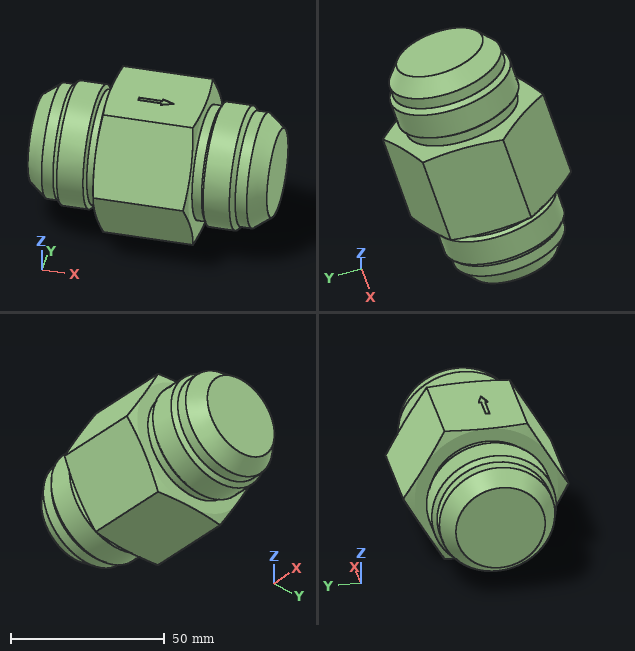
import cadquery as cq
import math

total_length = 80.0
half_length = total_length / 2

hex_length = 32.0
hex_across_flats = 47.5
hex_across_corners = hex_across_flats / math.cos(math.pi / 6)
hex_chamfer_angle = 15.0

relief_diameter = 38.2
relief_end = 19.2
collar_diameter = 41.3
collar_relief_angle = 30.0
collar_front_chamfer = 1.6
collar_end = 30.5
nose_diameter = 38.3
cone_start = 34.3
tip_diameter = 29.6

arrow_length = 11.7
arrow_center_y = -2.4
arrow_shaft_width = 1.3
arrow_head_length = 3.9
arrow_head_width = 3.05
arrow_depth = 0.2


def make_hex_body():
    """Hexagonal prism with flats at top and bottom and conically chamfered corners."""
    prism = (
        cq.Workplane("YZ")
        .polygon(6, hex_across_corners)
        .extrude(hex_length / 2, both=True)
    )
    end_x = hex_length / 2
    flat_radius = hex_across_flats / 2
    corner_radius = hex_across_corners / 2
    chamfer_length = (corner_radius - flat_radius) * math.tan(math.radians(hex_chamfer_angle))
    envelope = (
        cq.Workplane("XY")
        .moveTo(-end_x, 0)
        .lineTo(-end_x, flat_radius)
        .lineTo(-end_x + chamfer_length, corner_radius)
        .lineTo(end_x - chamfer_length, corner_radius)
        .lineTo(end_x, flat_radius)
        .lineTo(end_x, 0)
        .close()
        .revolve(360, (0, 0, 0), (1, 0, 0))
    )
    return prism.intersect(envelope)


def make_turned_end():
    """Relief groove, collar, nose and sealing cone at the +X side, starting inside the body."""
    relief_radius = relief_diameter / 2
    collar_radius = collar_diameter / 2
    nose_radius = nose_diameter / 2
    relief_slope_length = (collar_radius - relief_radius) * math.tan(math.radians(collar_relief_angle))
    return (
        cq.Workplane("XY")
        .moveTo(0, 0)
        .lineTo(0, relief_radius)
        .lineTo(relief_end, relief_radius)
        .lineTo(relief_end + relief_slope_length, collar_radius)
        .lineTo(collar_end - collar_front_chamfer, collar_radius)
        .lineTo(collar_end, nose_radius)
        .lineTo(cone_start, nose_radius)
        .lineTo(half_length, tip_diameter / 2)
        .lineTo(half_length, 0)
        .close()
        .revolve(360, (0, 0, 0), (1, 0, 0))
    )


def make_arrow_cutter():
    """Arrow-shaped prism reaching from the top flat down to the engraving depth."""
    tail_x = -arrow_length / 2
    tip_x = arrow_length / 2
    head_x = tip_x - arrow_head_length
    shaft_half = arrow_shaft_width / 2
    head_half = arrow_head_width / 2
    return (
        cq.Workplane("XY", origin=(0, arrow_center_y, hex_across_flats / 2))
        .moveTo(tail_x, -shaft_half)
        .lineTo(head_x, -shaft_half)
        .lineTo(head_x, -head_half)
        .lineTo(tip_x, 0)
        .lineTo(head_x, head_half)
        .lineTo(head_x, shaft_half)
        .lineTo(tail_x, shaft_half)
        .close()
        .extrude(-arrow_depth)
    )


turned_end = make_turned_end()
result = (
    make_hex_body()
    .union(turned_end)
    .union(turned_end.mirror("YZ"))
    .cut(make_arrow_cutter())
)